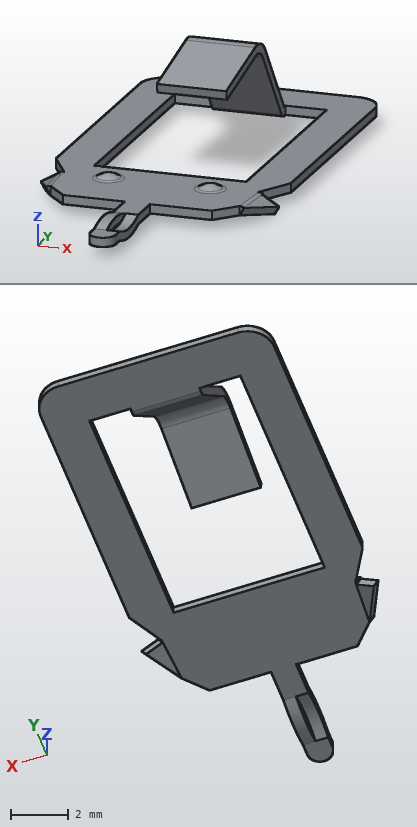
import cadquery as cq
import math

thickness = 0.35
length = 18.14
frame_half_width = 4.35
corner_radius = 1.0
frame_straight_end_y = 8.05
neck_half_width, neck_y = 3.61, 6.75
tab_end_half_width, tab_end_y = 3.5, 5.0
shoulder_half_width, shoulder_y = 2.75, 4.19

window_half_width = 2.81
window_bottom_y, window_top_y = 7.73, 16.38

tail_half_width = 0.47
strand_start_y, strand_end_y = 2.92, 0.9
strand_outer_rise = 0.18
strand_inner_rise = 0.2

dome_x, dome_y = 1.89, 6.55
dome_radius, dome_rim_radius = 0.44, 0.56
dome_height = 0.18

tab_angle = 30.0
tab_length = 0.75
tab_outer_length = 1.67

finger_width = 2.58
finger_bend_radius = 1.09
finger_bend_y = 13.35
finger_peak_z = 3.15
finger_tip_y = 10.01
finger_rise_angle = math.radians(53.4)
finger_fall_angle = math.radians(12)


def make_plate():
    """Flat frame with its window, sloped shoulders and round-ended tail."""
    right_side = [
        (frame_half_width, length),
        (frame_half_width, frame_straight_end_y),
        (neck_half_width, neck_y),
        (tab_end_half_width, tab_end_y),
        (shoulder_half_width, shoulder_y),
        (tail_half_width, shoulder_y),
        (tail_half_width, tail_half_width),
    ]
    left_side = [(-x, y) for x, y in reversed(right_side)]
    plate = (
        cq.Workplane("XY")
        .polyline(right_side)
        .threePointArc((0, 0), left_side[0])
        .polyline(left_side[1:], includeCurrent=True)
        .close()
        .extrude(-thickness)
    )
    plate = plate.edges("|Z and >Y").fillet(corner_radius)
    window_height = window_top_y - window_bottom_y
    window = cq.Workplane("XY").box(
        2 * window_half_width, window_height, 2 * thickness
    ).translate((0, (window_top_y + window_bottom_y) / 2, -thickness / 2))
    return plate.cut(window)


def make_strand():
    """Right half of the tail, bowed downward."""
    middle_y = (strand_start_y + strand_end_y) / 2
    return (
        cq.Workplane("YZ")
        .moveTo(strand_start_y, 0)
        .threePointArc((middle_y, -strand_inner_rise), (strand_end_y, 0))
        .lineTo(strand_end_y, -thickness)
        .threePointArc((middle_y, -thickness - strand_outer_rise), (strand_start_y, -thickness))
        .close()
        .extrude(tail_half_width)
    )


def split_tail(body):
    """Replace the middle of the tail by one strand bowed up and one bowed down."""
    strand_length = strand_start_y - strand_end_y
    gap = cq.Workplane("XY").box(
        2 * tail_half_width, strand_length, 2 * thickness
    ).translate((0, (strand_start_y + strand_end_y) / 2, -thickness / 2))
    down = make_strand()
    up = down.rotate((0, 0, -thickness / 2), (0, 1, -thickness / 2), 180)
    return body.cut(gap).union(down).union(up)


def make_dome(x):
    """Shallow spherical dome blended into the plate by a concave rim."""
    rim_width = dome_rim_radius - dome_radius
    rim_height = dome_height * rim_width / dome_rim_radius
    slope = math.atan2(dome_height, dome_rim_radius)
    sphere_radius = dome_radius / math.sin(2 * slope)
    rim_fillet_radius = rim_width / math.sin(2 * slope)
    rim_middle = (
        dome_rim_radius - rim_fillet_radius * math.sin(slope),
        rim_fillet_radius * (1 - math.cos(slope)),
    )
    dome_middle = (
        sphere_radius * math.sin(slope),
        dome_height - sphere_radius * (1 - math.cos(slope)),
    )
    return (
        cq.Workplane("XZ")
        .moveTo(0, -thickness / 2)
        .lineTo(dome_rim_radius, -thickness / 2)
        .lineTo(dome_rim_radius, 0)
        .threePointArc(rim_middle, (dome_radius, rim_height))
        .threePointArc(dome_middle, (0, dome_height))
        .close()
        .revolve(360, (0, 0), (0, 1))
        .translate((x, dome_y, 0))
    )


def make_tab():
    """Triangular tab on the +X side, folded down about the lower plate edge."""
    run_x = neck_half_width - tab_end_half_width
    run_y = neck_y - tab_end_y
    root_length = math.hypot(run_x, run_y)
    fold = cq.Plane(
        origin=(tab_end_half_width, tab_end_y, -thickness),
        xDir=(run_y, -run_x, 0),
        normal=(0, 0, 1),
    )
    bend = (
        cq.Workplane("YZ")
        .rect(root_length, thickness, centered=False)
        .revolve(tab_angle, (0, 0), (1, 0))
    )
    flap = (
        cq.Workplane("XY")
        .polyline([(0, 0), (tab_length, tab_outer_length), (0, tab_outer_length)])
        .close()
        .extrude(thickness)
        .rotate((0, 0, 0), (0, 1, 0), tab_angle)
    )
    return cq.Workplane(obj=bend.union(flap).val().moved(cq.Location(fold)))


def make_finger():
    """Spring finger that rises from the window edge and bends back over the window."""
    inner_radius = finger_bend_radius - thickness
    bend_z = finger_peak_z - finger_bend_radius

    def on_bend(radius, angle):
        return (finger_bend_y + radius * math.sin(angle), bend_z + radius * math.cos(angle))

    rise_start_y, rise_start_z = on_bend(finger_bend_radius, finger_rise_angle)
    fold_y = rise_start_y + rise_start_z / math.tan(finger_rise_angle)

    def under_fold(angle):
        """Point on the rounded underside of the sharp fold at the finger root."""
        return (fold_y - thickness * math.sin(angle), -thickness * math.cos(angle))

    outer_end_y, outer_end_z = on_bend(finger_bend_radius, -finger_fall_angle)
    tip_z = outer_end_z - (outer_end_y - finger_tip_y) * math.tan(finger_fall_angle)
    inner_tip = (
        finger_tip_y + thickness * math.sin(finger_fall_angle),
        tip_z - thickness * math.cos(finger_fall_angle),
    )
    mid_angle = (finger_rise_angle - finger_fall_angle) / 2
    return (
        cq.Workplane("YZ")
        .moveTo(window_top_y, -thickness)
        .lineTo(window_top_y, 0)
        .lineTo(fold_y, 0)
        .lineTo(rise_start_y, rise_start_z)
        .threePointArc(on_bend(finger_bend_radius, mid_angle), (outer_end_y, outer_end_z))
        .lineTo(finger_tip_y, tip_z)
        .lineTo(*inner_tip)
        .lineTo(*on_bend(inner_radius, -finger_fall_angle))
        .threePointArc(
            on_bend(inner_radius, mid_angle), on_bend(inner_radius, finger_rise_angle)
        )
        .lineTo(*under_fold(finger_rise_angle))
        .threePointArc(under_fold(finger_rise_angle / 2), under_fold(0))
        .close()
        .extrude(finger_width / 2, both=True)
    )


result = split_tail(make_plate()).union(make_finger())
for x in (-dome_x, dome_x):
    result = result.union(make_dome(x))
tab = make_tab()
result = result.union(tab).union(tab.mirror("YZ"))